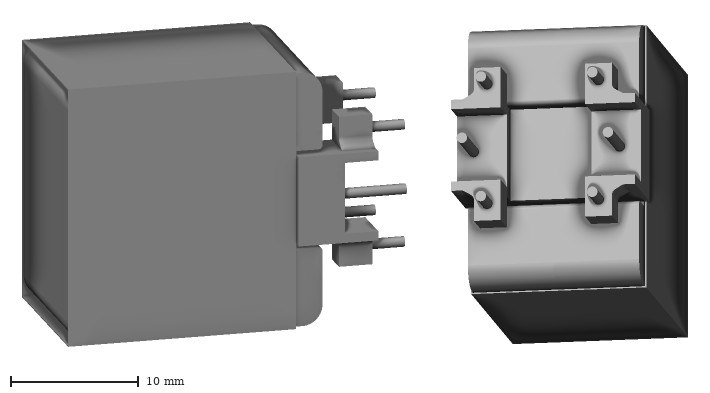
import cadquery as cq
import math


SLEEVE_WIDTH = 13.94
SLEEVE_LENGTH = 18.48
SLEEVE_HEIGHT = 21.05
SLEEVE_WALL = 0.1
SLEEVE_CENTER_X = -0.08

CORE_WIDTH = 13.63
CORE_HEIGHT = 20.7
CORE_FRONT_Y = 0.08
CORE_END_Y = 20.65
CORE_CENTER_X = -0.05
CORE_EDGE_RADIUS = 1.65

SLOT_HEIGHT = 8.0
SLOT_FLOOR_Y = 18.55
SLOT_MOUTH_RADIUS = 0.33

BOBBIN_WIDTH = 14.63
BLOCK_WIDTH = 3.95
BLOCK_HEIGHT = 7.3
BLOCK_END_Y = 22.32

ARM_END_Y = 25.03
ARM_INNER_Z = 2.9
ARM_OUTER_Z = 6.13
ARM_WALL_X = 5.5
RAMP_FOOT_X = 6.38
RAMP_ANGLE = 30.0
RAMP_RADIUS = 0.5

PIN_DIAMETER = 0.85
PIN_X = 4.43
PIN_Z = 4.8
PIN_TIP_Y = 27.87
LEAD_LEFT_X = -5.63
LEAD_RIGHT_X = 6.0
LEAD_TIP_Y = 27.6

BOBBIN_HALF_WIDTH = BOBBIN_WIDTH / 2
BLOCK_HALF_HEIGHT = BLOCK_HEIGHT / 2
BLOCK_INNER_X = BOBBIN_HALF_WIDTH - BLOCK_WIDTH


def box_along_y(width, height, start_y, end_y, center_x=0.0):
    """Box centred on Z = 0 that reaches from start_y to end_y."""
    length = end_y - start_y
    return cq.Workplane("XY").box(width, length, height).translate((center_x, start_y + length / 2, 0))


def rod_along_y(x, z, start_y, end_y):
    """Round pin or lead that reaches from start_y to end_y."""
    rod = cq.Workplane("XZ").circle(PIN_DIAMETER / 2).extrude(start_y - end_y)
    return rod.translate((x, start_y, z))


def make_sleeve():
    outside = box_along_y(SLEEVE_WIDTH, SLEEVE_HEIGHT, 0, SLEEVE_LENGTH, SLEEVE_CENTER_X)
    inner_width = SLEEVE_WIDTH - 2 * SLEEVE_WALL
    inner_height = SLEEVE_HEIGHT - 2 * SLEEVE_WALL
    return outside.cut(box_along_y(inner_width, inner_height, 0, SLEEVE_LENGTH, SLEEVE_CENTER_X))


def make_core_half(side):
    """Half of the core on the -X side (side = -1) or the +X side (side = 1) of the joint."""
    width = CORE_WIDTH / 2
    center_x = CORE_CENTER_X + side * width / 2
    half = box_along_y(width, CORE_HEIGHT, CORE_FRONT_Y, CORE_END_Y, center_x)
    half = half.edges("|X").fillet(CORE_EDGE_RADIUS)
    half = half.cut(box_along_y(width, SLOT_HEIGHT, SLOT_FLOOR_Y, CORE_END_Y, center_x))
    for mouth_z in (-SLOT_HEIGHT / 2, SLOT_HEIGHT / 2):
        mouth_edge = cq.NearestToPointSelector((center_x, CORE_END_Y, mouth_z))
        half = half.edges(mouth_edge).fillet(SLOT_MOUTH_RADIUS)
    return half


def make_bobbin():
    """Two terminal blocks, the bar that joins them and a straight lead on each block."""
    bobbin = box_along_y(BOBBIN_WIDTH - BLOCK_WIDTH, BLOCK_HEIGHT, SLOT_FLOOR_Y, CORE_END_Y)
    block_x = BOBBIN_HALF_WIDTH - BLOCK_WIDTH / 2
    for center_x in (-block_x, block_x):
        bobbin = bobbin.union(box_along_y(BLOCK_WIDTH, BLOCK_HEIGHT, SLOT_FLOOR_Y, BLOCK_END_Y, center_x))
    for lead_x in (LEAD_LEFT_X, LEAD_RIGHT_X):
        bobbin = bobbin.union(rod_along_y(lead_x, 0, BLOCK_END_Y, LEAD_TIP_Y))
    return bobbin


def make_terminal_arm(side, level):
    """Corner arm with its pin: a flat shelf, a ramp with rounded ends and a raised post.

    side picks the -X or +X block and level its lower or upper corner, each as -1 or 1.
    """
    ramp_rise = (RAMP_FOOT_X - ARM_WALL_X) * math.tan(math.radians(RAMP_ANGLE))
    ramp_foot = (RAMP_FOOT_X, BLOCK_HALF_HEIGHT)
    ramp_top = (ARM_WALL_X, BLOCK_HALF_HEIGHT + ramp_rise)
    outline = [
        (BLOCK_INNER_X, ARM_INNER_Z),
        (BOBBIN_HALF_WIDTH, ARM_INNER_Z),
        (BOBBIN_HALF_WIDTH, BLOCK_HALF_HEIGHT),
        ramp_foot,
        ramp_top,
        (ARM_WALL_X, ARM_OUTER_Z),
        (BLOCK_INNER_X, ARM_OUTER_Z),
    ]
    arm = cq.Workplane("XZ", origin=(0, BLOCK_END_Y, 0)).polyline(outline).close()
    arm = arm.extrude(BLOCK_END_Y - ARM_END_Y)
    for corner_x, corner_z in (ramp_foot, ramp_top):
        corner = (corner_x, (BLOCK_END_Y + ARM_END_Y) / 2, corner_z)
        arm = arm.edges(cq.NearestToPointSelector(corner)).fillet(RAMP_RADIUS)
    arm = arm.union(rod_along_y(PIN_X, PIN_Z, ARM_END_Y, PIN_TIP_Y))
    if side < 0:
        arm = arm.mirror("YZ")
    if level < 0:
        arm = arm.mirror("XY")
    return arm


sleeve = make_sleeve()
core_halves = [make_core_half(side) for side in (-1, 1)]
bobbin = make_bobbin()
terminal_arms = [make_terminal_arm(side, level) for side in (-1, 1) for level in (-1, 1)]

bodies = [sleeve, *core_halves, bobbin, *terminal_arms]
result = cq.Compound.makeCompound([body.solids().val() for body in bodies])